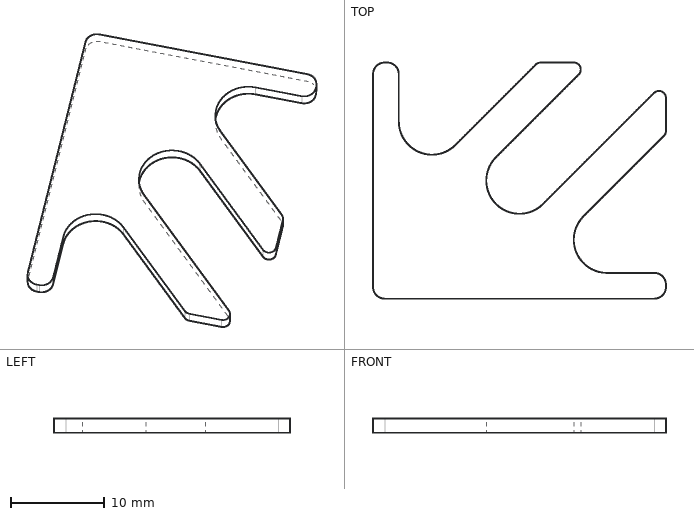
import cadquery as cq
import math

length = 31.5
width = 25.4
thickness = 1.57

slot_radius = 3.556
slot_pitch_x = 9.4
slot_pitch_y = 6.35
finger_angle = 45

outer_corner_radius = 1.27
fingertip_radius = 0.762

wall_reach = length + width

middle_slot = (length / 2, width / 2)
upper_slot = (middle_slot[0] - slot_pitch_x, middle_slot[1] + slot_pitch_y)
lower_slot = (middle_slot[0] + slot_pitch_x, middle_slot[1] - slot_pitch_y)

upper_arm_width = upper_slot[0] - slot_radius
lower_arm_width = lower_slot[1] - slot_radius


def polar(origin, distance, angle):
    """Point at a distance and an angle in degrees from the origin point."""
    radians = math.radians(angle)
    return (origin[0] + distance * math.cos(radians), origin[1] + distance * math.sin(radians))


def slot_cutter(center, left_angle, right_angle):
    """Slot with a round bottom and two tangent walls heading along the given angles."""
    left_tangent = polar(center, slot_radius, left_angle + 90)
    right_tangent = polar(center, slot_radius, right_angle - 90)
    bottom = polar(center, slot_radius, (left_angle + right_angle) / 2 + 180)
    return (
        cq.Workplane("XY")
        .moveTo(*polar(left_tangent, wall_reach, left_angle))
        .lineTo(*left_tangent)
        .threePointArc(bottom, right_tangent)
        .lineTo(*polar(right_tangent, wall_reach, right_angle))
        .close()
        .extrude(thickness)
    )


def wall_at_x(center, side_angle, x):
    """Point where a finger-side slot wall reaches the given x."""
    start = polar(center, slot_radius, side_angle)
    return (x, start[1] + (x - start[0]) * math.tan(math.radians(finger_angle)))


def wall_at_y(center, side_angle, y):
    """Point where a finger-side slot wall reaches the given y."""
    start = polar(center, slot_radius, side_angle)
    return (start[0] + (y - start[1]) / math.tan(math.radians(finger_angle)), y)


def round_corners(body, corners, radius):
    """Round the upright edges standing at the given corner points."""
    for x, y in corners:
        edge = cq.selectors.NearestToPointSelector((x, y, thickness / 2))
        body = body.edges("|Z").edges(edge).fillet(radius)
    return body


plate = cq.Workplane("XY").box(length, width, thickness, centered=False)
plate = plate.cut(slot_cutter(upper_slot, 90, finger_angle))
plate = plate.cut(slot_cutter(middle_slot, finger_angle, finger_angle))
plate = plate.cut(slot_cutter(lower_slot, finger_angle, 0))

outer_corners = [
    (0, 0),
    (0, width),
    (upper_arm_width, width),
    (length, 0),
    (length, lower_arm_width),
]
plate = round_corners(plate, outer_corners, outer_corner_radius)

left_side = finger_angle + 90
right_side = finger_angle - 90
fingertip_corners = [
    wall_at_y(upper_slot, right_side, width),
    wall_at_y(middle_slot, left_side, width),
    wall_at_x(middle_slot, right_side, length),
    wall_at_x(lower_slot, left_side, length),
]
result = round_corners(plate, fingertip_corners, fingertip_radius)